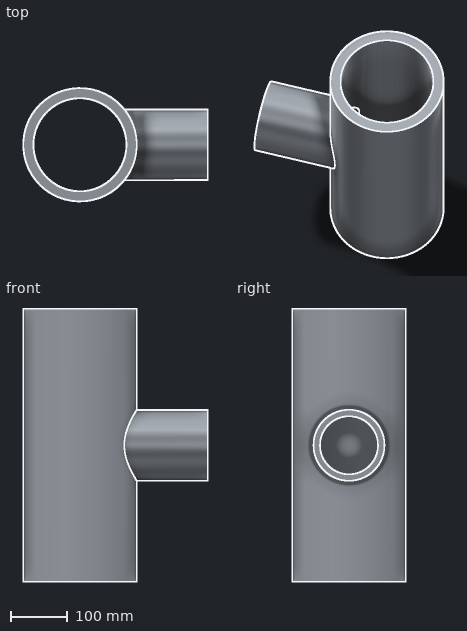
import cadquery as cq

run_length = 481.0
run_diameter = 200.0
run_wall = 18.5
branch_diameter = 125.0
branch_reach = 225.0

branch_wall = run_wall * branch_diameter / run_diameter


def run_cylinder(diameter):
    """Vertical cylinder centred on the origin."""
    return cq.Workplane("XY").circle(diameter / 2).extrude(run_length / 2, both=True)


def branch_cylinder(diameter):
    """Horizontal cylinder from the run axis to the branch end."""
    return cq.Workplane("YZ").circle(diameter / 2).extrude(branch_reach)


body = run_cylinder(run_diameter).union(branch_cylinder(branch_diameter))

run_bore = run_cylinder(run_diameter - 2 * run_wall)
branch_bore = branch_cylinder(branch_diameter - 2 * branch_wall)
result = body.cut(run_bore).cut(branch_bore)